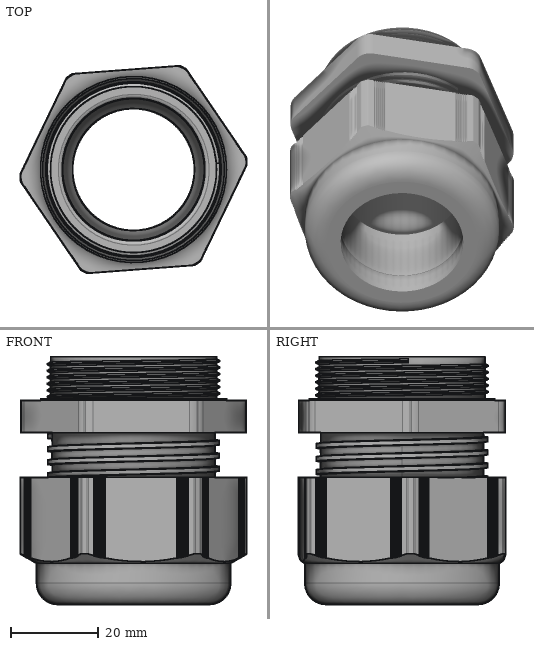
import cadquery as cq
import math

total_height = 57.0
dome_radius = 5.0
nut_collar_top = 9.5
nut_top = 29.2
hex_bottom = 39.5
hex_top = 46.9
sealing_lip_top = 47.3

hex_sides = 6
half_side_angle = 180 / hex_sides
across_flats = 46.0
hex_turn = 4.30
body_corner_diameter = 51.9
body_corner_fillet = 3.5
nut_corner_diameter = 52.18
nut_corner_fillet = 0.6

nut_collar_diameter = 44.68
nut_chamfer_angle = 30.0
nut_opening_diameter = 28.2
nut_bore_diameter = 39.7
nut_floor = 6.0
grip_groove_count = 6
grip_groove_pitch = 0.455
grip_groove_depth = grip_groove_pitch / 2
grip_start_offset = 8.2

bore_diameter = 32.85
rim_fillet = 0.9
body_bottom = 14.0
entry_core_diameter = 38.16
clamp_core_diameter = 37.47
lip_outer_diameter = 42.75
lip_crest_diameter = 41.8
lip_inner_diameter = 40.37

thread_root_overlap = 0.2
entry_crest_diameter = 39.7
entry_pitch = 1.5
entry_root_width = 0.9
entry_crest_width = 0.1
entry_start_z = 47.75
entry_turns = 5.5
clamp_crest_diameter = 39.5
clamp_pitch = 3.0
clamp_root_width = 1.3
clamp_crest_width = 1.0
clamp_end_gap = 0.1
clamp_end_z = hex_bottom - clamp_end_gap - clamp_root_width / 2
clamp_turns = 5
thread_corner_angle = 180 + hex_turn

seal_bore_diameter = 27.97
seal_flange_diameter = clamp_core_diameter
seal_top = 24.0
seal_mouth_diameter = 32.56
seal_mouth_depth = (seal_mouth_diameter - seal_bore_diameter) / 2


def hex_prism(bottom, top, corner_diameter, corner_fillet):
    """Hexagonal prism with its corners turned to a diameter and then rounded."""
    height = top - bottom
    point_diameter = across_flats / math.cos(math.radians(half_side_angle))
    hexagon = cq.Workplane("XY").polygon(hex_sides, point_diameter).extrude(height)
    turned = cq.Workplane("XY").circle(corner_diameter / 2).extrude(height)
    prism = hexagon.intersect(turned).edges("|Z").fillet(corner_fillet)
    return prism.rotate((0, 0, 0), (0, 0, 1), hex_turn).translate((0, 0, bottom))


def cylinder(diameter, bottom, top):
    """Upright cylinder on the gland axis."""
    return cq.Workplane("XY").workplane(offset=bottom).circle(diameter / 2).extrude(top - bottom)


def thread_ridge(core_diameter, crest_diameter, pitch, turns, start_z, start_angle, root_width, crest_width):
    """Helical ridge of trapezoid section, sunk slightly into the core."""
    core_radius = core_diameter / 2
    crest_radius = crest_diameter / 2
    flank_slope = (root_width - crest_width) / 2 / (crest_radius - core_radius)
    sunk_radius = core_radius - thread_root_overlap
    sunk_width = root_width + 2 * flank_slope * thread_root_overlap
    section = (
        cq.Workplane("XZ")
        .moveTo(sunk_radius, -sunk_width / 2)
        .lineTo(crest_radius, -crest_width / 2)
        .lineTo(crest_radius, crest_width / 2)
        .lineTo(sunk_radius, sunk_width / 2)
        .close()
    )
    helix = cq.Wire.makeHelix(pitch, pitch * turns, core_radius)
    ridge = section.sweep(cq.Workplane(helix), isFrenet=True)
    return ridge.rotate((0, 0, 0), (0, 0, 1), start_angle).translate((0, 0, start_z))


def body_core():
    """Turned core of the body: both thread cores and the sealing lip on the hexagon."""
    bore_radius = bore_diameter / 2
    clamp_radius = clamp_core_diameter / 2
    entry_radius = entry_core_diameter / 2
    fillet_center = (bore_radius + rim_fillet, total_height - rim_fillet)
    fillet_middle = (
        fillet_center[0] - rim_fillet * math.cos(math.radians(45)),
        fillet_center[1] + rim_fillet * math.sin(math.radians(45)),
    )
    return (
        cq.Workplane("XZ")
        .moveTo(bore_radius, body_bottom)
        .lineTo(clamp_radius, body_bottom)
        .lineTo(clamp_radius, hex_bottom)
        .lineTo(lip_outer_diameter / 2, hex_bottom)
        .lineTo(lip_outer_diameter / 2, sealing_lip_top)
        .lineTo(lip_crest_diameter / 2, sealing_lip_top)
        .lineTo(lip_inner_diameter / 2, hex_top)
        .lineTo(entry_radius, hex_top)
        .lineTo(entry_radius, total_height)
        .lineTo(fillet_center[0], total_height)
        .threePointArc(fillet_middle, (bore_radius, fillet_center[1]))
        .close()
        .revolve(360, (0, 0, 0), (0, 1, 0))
    )


def make_body():
    """Gland body: turned core, hexagon, clamp thread below and entry thread above."""
    hexagon = hex_prism(hex_bottom, hex_top, body_corner_diameter, body_corner_fillet)
    hexagon = hexagon.cut(cylinder(bore_diameter, hex_bottom, hex_top))
    clamp_thread = thread_ridge(
        clamp_core_diameter, clamp_crest_diameter, clamp_pitch, clamp_turns,
        clamp_end_z - clamp_pitch * clamp_turns, thread_corner_angle,
        clamp_root_width, clamp_crest_width,
    )
    entry_thread = thread_ridge(
        entry_core_diameter, entry_crest_diameter, entry_pitch, entry_turns,
        entry_start_z, thread_corner_angle, entry_root_width, entry_crest_width,
    )
    body = body_core().union(hexagon)
    return body.union(clamp_thread, clean=False).union(entry_thread, clean=False)


def grip_strips():
    """Rows of fine right-angled V grooves at both ends of the six flats."""
    flat_distance = across_flats / 2
    row = cq.Workplane("XY").moveTo(flat_distance, grip_start_offset)
    for index in range(grip_groove_count):
        groove_start = grip_start_offset + index * grip_groove_pitch
        row = row.lineTo(flat_distance - grip_groove_depth, groove_start + grip_groove_pitch / 2)
        row = row.lineTo(flat_distance, groove_start + grip_groove_pitch)
    row_end = grip_start_offset + grip_groove_count * grip_groove_pitch
    strip = (
        row.lineTo(flat_distance + grip_groove_depth, row_end)
        .lineTo(flat_distance + grip_groove_depth, grip_start_offset)
        .close()
        .extrude(nut_top)
    )
    both_ends = strip.add(strip.mirror("XZ"))
    strips = cq.Workplane("XY")
    for side in range(hex_sides):
        turn = hex_turn + half_side_angle * (1 + 2 * side)
        strips = strips.add(both_ends.rotate((0, 0, 0), (0, 0, 1), turn))
    return strips


def make_nut():
    """Cap nut: grooved hexagon, chamfered down to a round collar with a domed end."""
    collar_radius = nut_collar_diameter / 2
    corner_radius = nut_corner_diameter / 2
    cone_rise = (corner_radius - collar_radius) * math.tan(math.radians(nut_chamfer_angle))
    envelope = (
        cq.Workplane("XZ")
        .moveTo(0, nut_collar_top)
        .lineTo(collar_radius, nut_collar_top)
        .lineTo(corner_radius, nut_collar_top + cone_rise)
        .lineTo(corner_radius, nut_top)
        .lineTo(0, nut_top)
        .close()
        .revolve(360, (0, 0, 0), (0, 1, 0))
    )
    hexagon = hex_prism(nut_collar_top, nut_top, nut_corner_diameter, nut_corner_fillet)
    for strip in grip_strips().vals():
        hexagon = hexagon.cut(cq.Workplane(strip))
    hexagon = hexagon.intersect(envelope)
    dome = cylinder(nut_collar_diameter, 0, nut_collar_top).faces("<Z").edges().fillet(dome_radius)
    nut = hexagon.union(dome)
    nut = nut.cut(cylinder(nut_bore_diameter, nut_floor, nut_top))
    return nut.cut(cylinder(nut_opening_diameter, 0, nut_floor))


def make_seal():
    """Flanged sleeve seated between the nut floor and the body, with a conical mouth."""
    return (
        cq.Workplane("XZ")
        .moveTo(seal_bore_diameter / 2, nut_floor)
        .lineTo(seal_flange_diameter / 2, nut_floor)
        .lineTo(seal_flange_diameter / 2, body_bottom)
        .lineTo(bore_diameter / 2, body_bottom)
        .lineTo(bore_diameter / 2, seal_top)
        .lineTo(seal_mouth_diameter / 2, seal_top)
        .lineTo(seal_bore_diameter / 2, seal_top - seal_mouth_depth)
        .close()
        .revolve(360, (0, 0, 0), (0, 1, 0))
    )


body = make_body()
nut = make_nut()
seal = make_seal()

result = cq.Compound.makeCompound([body.solids().val(), nut.solids().val(), seal.val()])